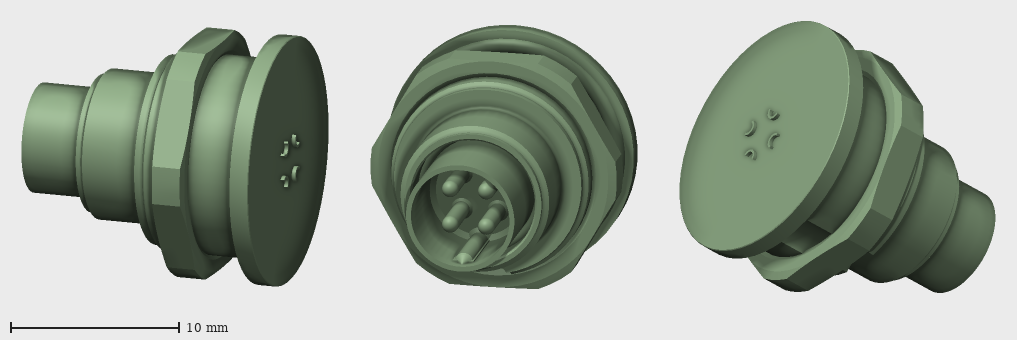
import cadquery as cq
import math

sleeve_radius = 6.6 / 2
socket_radius = 6.0 / 2
socket_floor_radius = 5.37 / 2
socket_floor_x = 5.72
collar_x = 3.7
collar_radius = 8.32 / 2
collar_bore_radius = 7.5 / 2
collar_bore_chamfer = 0.11
collar_length = 0.32
barrel_radius = 9.05 / 2
barrel_chamfer_end_x = 4.23

inner_cord_radius = 0.3
inner_seal_depth = 2.23

step_x = 7.9
step_radius = 11.4 / 2
step_fillet = 0.2
thread_x = 8.4
thread_radius = 12.0 / 2
thread_chamfer_length = 0.19
flange_x = 14.5
flange_end_x = 15.66
flange_radius = 15.0 / 2
flange_chamfer = 0.05

outer_cord_radius = 1.0 / 2
outer_seal_protrusion = 0.3

nut_x = 9.5
nut_thickness = 2.0
nut_across_flats = 13.99
nut_corner_radius = flange_radius
nut_chamfer_length = 0.13
nut_countersink_radius = 6.26
nut_countersink_depth = 0.33

keyway_radius = 1.43
keyway_center_z = -6.44

pin_offset = 1.1
pin_radius = 1.0 / 2
pin_tip_x = 1.85
pin_foot_radius = 0.65
pin_foot_height = 0.16
cup_bore_radius = 0.7 / 2
overall_length = 15.9

key_radius = 0.55
key_foot_radius = 0.8
key_foot_height = key_foot_radius - key_radius
key_shoulder_x = 0.95
key_shoulder_length = 0.13
key_nose_radius = 0.46
key_nose_length = 0.48
key_rail_width = 1.27
key_rail_x = 0.83
key_rail_top_z = -2.85

AXIS_START = (0, 0, 0)
AXIS_END = (1, 0, 0)


def turned(profile):
    """Turn a closed XY profile, given as (x, radius), about the X axis."""
    return profile.close().revolve(360, AXIS_START, AXIS_END)


def rod(x_start, x_end, radius, y=0.0, z=0.0):
    """Round bar parallel to X."""
    return cq.Workplane("YZ", origin=(x_start, y, z)).circle(radius).extrude(x_end - x_start)


def make_body():
    """Sleeve, collar, barrel, threaded body and flange with the socket left open."""
    seal_x = collar_x + inner_seal_depth
    seal_center_radius = sleeve_radius + inner_cord_radius
    seal_edge_x = seal_x - math.sqrt(inner_cord_radius**2 - (seal_center_radius - collar_bore_radius) ** 2)
    diagonal = inner_cord_radius * math.sqrt(0.5)
    fillet_bulge = step_fillet * (1 - math.sqrt(0.5))
    floor_taper = socket_radius - socket_floor_radius
    profile = (
        cq.Workplane("XY")
        .moveTo(socket_floor_x, 0)
        .lineTo(socket_floor_x, socket_floor_radius)
        .lineTo(socket_floor_x - floor_taper, socket_radius)
        .lineTo(0, socket_radius)
        .lineTo(0, sleeve_radius)
        .lineTo(seal_x, sleeve_radius)
        .threePointArc(
            (seal_x - diagonal, seal_center_radius - diagonal),
            (seal_edge_x, collar_bore_radius),
        )
        .lineTo(collar_x + collar_bore_chamfer, collar_bore_radius)
        .lineTo(collar_x, collar_bore_radius + collar_bore_chamfer)
        .lineTo(collar_x, collar_radius)
        .lineTo(collar_x + collar_length, collar_radius)
        .lineTo(barrel_chamfer_end_x, barrel_radius)
        .lineTo(step_x - step_fillet, barrel_radius)
        .threePointArc(
            (step_x - fillet_bulge, barrel_radius + fillet_bulge),
            (step_x, barrel_radius + step_fillet),
        )
        .lineTo(step_x, step_radius)
        .lineTo(thread_x, step_radius)
        .lineTo(thread_x + thread_chamfer_length, thread_radius)
        .lineTo(flange_x, thread_radius)
        .lineTo(flange_x, flange_radius)
        .lineTo(flange_end_x - flange_chamfer, flange_radius)
        .lineTo(flange_end_x, flange_radius - flange_chamfer)
        .lineTo(flange_end_x, 0)
    )
    keyway = rod(step_x, flange_x, keyway_radius, z=keyway_center_z)
    return turned(profile).cut(keyway)


def make_outer_seal():
    """Sealing ring seated in the front face of the flange."""
    center_x = flange_x - outer_seal_protrusion + outer_cord_radius
    center_radius = thread_radius + outer_cord_radius
    cord = cq.Workplane("XY").center(center_x, center_radius).circle(outer_cord_radius)
    return cord.revolve(360, (-center_x, -center_radius, 0), (0.16 - center_x, -center_radius, 0))


def make_nut():
    """Hexagonal nut with rounded corners, chamfered rims and a countersunk bore."""
    nut_end_x = nut_x + nut_thickness
    rim_radius = nut_across_flats / 2
    hexagon = (
        cq.Workplane("YZ", origin=(nut_x, 0, 0))
        .polygon(6, nut_across_flats, circumscribed=True)
        .extrude(nut_thickness)
        .rotate(AXIS_START, AXIS_END, 90)
    )
    envelope = turned(
        cq.Workplane("XY")
        .moveTo(nut_x, nut_countersink_radius)
        .lineTo(nut_x, rim_radius)
        .lineTo(nut_x + nut_chamfer_length, nut_corner_radius)
        .lineTo(nut_end_x - nut_chamfer_length, nut_corner_radius)
        .lineTo(nut_end_x, rim_radius)
        .lineTo(nut_end_x, nut_countersink_radius)
        .lineTo(nut_end_x - nut_countersink_depth, step_radius)
        .lineTo(nut_x + nut_countersink_depth, step_radius)
    )
    return hexagon.intersect(envelope)


def make_pin(side_y, side_z):
    """Round-nosed contact pin with a conical foot and a half-open solder cup at the rear."""
    y = side_y * pin_offset
    z = side_z * pin_offset
    nose_x = pin_tip_x + pin_radius
    nose = cq.Workplane("XY", origin=(nose_x, y, z)).sphere(pin_radius)
    shank = rod(nose_x, socket_floor_x, pin_radius, y, z)
    foot = (
        cq.Workplane("YZ", origin=(socket_floor_x, y, z))
        .circle(pin_foot_radius)
        .workplane(offset=-pin_foot_height)
        .circle(pin_radius)
        .loft()
    )
    cup = rod(flange_end_x, overall_length, pin_radius, y, z)
    cup = cup.cut(rod(flange_end_x, overall_length, cup_bore_radius, y, z))
    cup_length = overall_length - flange_end_x
    outward_angle = math.degrees(math.atan2(side_z, side_y))
    open_half = (
        cq.Workplane("XY")
        .box(cup_length, 2 * pin_radius, 4 * pin_radius, centered=(False, False, True))
        .rotate(AXIS_START, AXIS_END, outward_angle)
        .translate((flange_end_x, y, z))
    )
    return nose.union(shank).union(foot).union(cup.cut(open_half))


def make_key():
    """Coding key with a pointed nose, on a flat-sided rail along the bottom of the socket."""
    ridge = turned(
        cq.Workplane("XY", origin=(0, 0, -socket_radius))
        .moveTo(key_shoulder_x - key_nose_length, 0)
        .lineTo(key_shoulder_x, key_nose_radius)
        .lineTo(key_shoulder_x + key_shoulder_length, key_radius)
        .lineTo(socket_floor_x - key_foot_height, key_radius)
        .lineTo(socket_floor_x, key_foot_radius)
        .lineTo(socket_floor_x, 0)
    )
    rail = cq.Workplane("XY", origin=(key_rail_x, 0, -sleeve_radius)).box(
        socket_floor_x - key_rail_x,
        key_rail_width,
        sleeve_radius + key_rail_top_z,
        centered=(False, True, False),
    )
    wall_middle_radius = (socket_radius + sleeve_radius) / 2
    return ridge.union(rail).intersect(rod(0, socket_floor_x, wall_middle_radius))


result = make_body().union(make_nut()).union(make_outer_seal()).union(make_key())
for side_y in (-1, 1):
    for side_z in (-1, 1):
        result = result.union(make_pin(side_y, side_z))